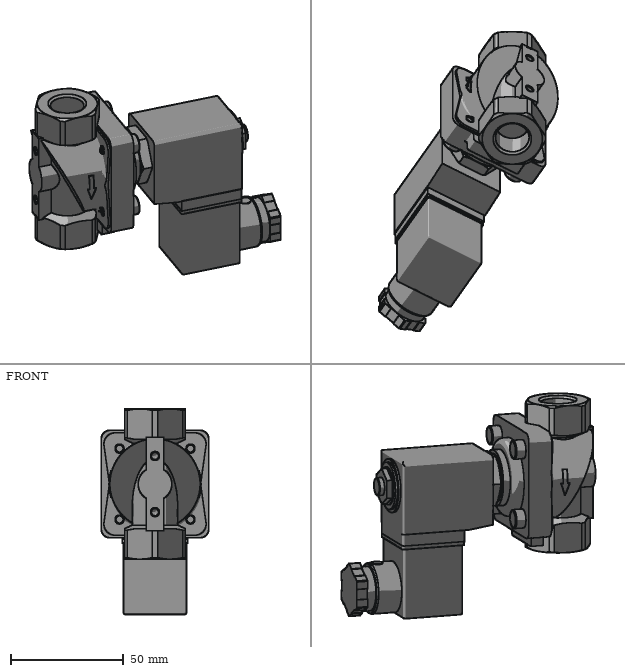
import cadquery as cq
import math


port_end = 33.5
port_flats = 27.0
port_corner_radius = 14.95
port_face_radius = 13.4
port_bore_diameter = 14.95
port_bore_depth = 12.0
port_bore_chamfer = 1.05
port_inner = 19.85
cone_rise = math.tan(math.radians(25))
pipe_diameter = 20.2
pipe_half_length = 19.0

chamber_radius = 20.1
chamber_fillet = 1.4
slant_high_y = -14.4
slant_low_y = 5.1
slant_reach = 20.1

pad_face_y = -15.25
web_width = 8.0
web_height = 41.6
web_root_y = -5.0
boss_diameter = 15.0
mount_spacing = 25.0
mount_diameter = 3.24
mount_mouth_diameter = 4.0
mount_depth = 6.0
drill_tip_angle = 118.0

flange_size = 48.0
flange_corner = 4.0
flange_front_y = 11.4
flange_back_y = 22.1
plate_front_y = 10.4
plate_half_width = 23.5
plate_half_height = 22.8
plate_waist = 20.3
plate_corner = 5.0
screw_pitch = 31.6
screw_head_diameter = 8.5
screw_head_end_y = 26.9
screw_head_chamfer = 0.45
screw_hole_diameter = 3.24
screw_mouth_diameter = 4.0
screw_recess = 0.5
lug_front_y = 11.45
lug_back_y = 17.1
lug_half_width = 13.2
lug_bottom = -29.7
lug_round = 1.4

arrow_y = 3.57
arrow_shaft_width = 2.1
arrow_head_width = 4.1
arrow_tail_z = 6.0
arrow_neck_z = -0.2
arrow_tip_z = -5.9
arrow_height = 0.4

cover_radius = 17.5
cover_step_y = 24.5
collar_radius = 12.6
collar_end_y = 30.1
neck_radius = 11.0
neck_end_y = 31.0
coil_front_y = 35.8
tube_hex_flats = 22.5
tube_hex_chamfer_radius = 11.7
stem_diameter = 8.0
stem_end_y = 85.6
stem_chamfer = 0.3
washer_radii = (12.0, 10.6)
washer_thickness = 1.0
spacer_radius = 8.5
spacer_end_y = 80.75
nut_flats = 14.0
nut_end_y = 83.2

coil_back_y = 78.37
coil_width = 30.0
coil_top = 13.55
coil_bottom = -19.4
coil_nose_bottom = -17.9
coil_slope_start_y = 47.0
coil_round = 2.1
coil_back_round = 1.0
base_width = 29.2
base_front_y = 49.15
base_bottom = -24.6

gasket_bottom = -26.3
plug_bottom = -58.15
plug_width = 28.1
plug_front_y = 49.7
plug_back_y = 77.75
plug_round = 1.1
plug_bottom_round = 1.0
gland_radius = 11.5
gland_end_y = 89.4
gland_chamfer_length = 0.8
gland_chamfer_depth = 0.4
gland_neck_diameter = 20.0
knob_start_y = 93.5
knob_end_y = 98.55
knob_flats = 21.1
knob_corner_radius = 12.03
knob_groove_width = 4.74
knob_groove_depth = 0.4
gland_z = plug_bottom + knob_corner_radius
gland_pad_diameter = 5.5
gland_pad_y = 85.5


def box(x_span, y_span, z_span):
    """Box between the given limits on each axis."""
    size = [high - low for low, high in (x_span, y_span, z_span)]
    corner = (x_span[0], y_span[0], z_span[0])
    return cq.Workplane("XY", origin=corner).box(*size, centered=False)


def centred(width):
    return (-width / 2, width / 2)


def section_at(y, x=0, z=0):
    """Sketch plane across the Y axis; a negative extrusion grows toward +Y."""
    return cq.Workplane("XZ", origin=(x, y, z))


def rod(radius, y_start, y_end, x=0, z=0):
    """Round bar along Y."""
    return section_at(y_start, x, z).circle(radius).extrude(y_start - y_end)


def hexagon(plane, flats):
    """Hexagon of the given width across flats, with two corners on the local X axis."""
    return plane.polygon(6, flats / math.cos(math.pi / 6))


def turned_about_y(points, z=0):
    """Revolve a closed (radius, y) outline about a Y-parallel axis at height z."""
    outline = cq.Workplane("XY", origin=(0, 0, z)).polyline(points).close()
    return outline.revolve(360, (0, 0), (0, 1))


def make_port():
    """Upper port: blunted hexagon, chamfered at the face, coned toward the chamber."""
    face_drop = (port_corner_radius - port_face_radius) * cone_rise
    flat_radius = port_flats / 2
    pipe_radius = pipe_diameter / 2
    cone_start = port_inner - (flat_radius - pipe_radius) * cone_rise
    cone_end = port_inner + (port_corner_radius - flat_radius) * cone_rise
    turned = (
        cq.Workplane("XZ")
        .polyline([
            (0, cone_start),
            (pipe_radius, cone_start),
            (port_corner_radius, cone_end),
            (port_corner_radius, port_end - face_drop),
            (port_face_radius, port_end),
            (0, port_end),
        ])
        .close()
        .revolve(360, (0, 0), (0, 1))
    )
    bar = hexagon(cq.Workplane("XY"), port_flats).extrude(port_end)
    return turned.intersect(bar.rotate((0, 0, 0), (0, 0, 1), 30))


def make_port_bore():
    """Blind bore of the upper port with its mouth chamfer."""
    radius = port_bore_diameter / 2
    bore = cq.Workplane("XY", origin=(0, 0, port_end)).circle(radius).extrude(-port_bore_depth)
    mouth = cq.Solid.makeCone(
        radius, radius + port_bore_chamfer, port_bore_chamfer,
        pnt=cq.Vector(0, 0, port_end - port_bore_chamfer),
    )
    return bore.union(cq.Workplane(mouth))


def make_chamber():
    """Round chamber along Y, cut off at a slope, with the flow pipe showing below."""
    chamber = rod(chamber_radius, pad_face_y, flange_front_y)
    run = (slant_low_y - slant_high_y) / (2 * slant_reach)
    overshoot = 2 * slant_reach
    middle_y = (slant_high_y + slant_low_y) / 2
    cutter = (
        cq.Workplane("YZ", origin=(-chamber_radius - 1, 0, 0))
        .polyline([
            (middle_y - run * overshoot, overshoot),
            (middle_y + run * overshoot, -overshoot),
            (middle_y - overshoot, -overshoot),
            (middle_y - overshoot, overshoot),
        ])
        .close()
        .extrude(2 * chamber_radius + 2)
    )
    pipe = cq.Workplane("XY").circle(pipe_diameter / 2).extrude(pipe_half_length, both=True)
    return chamber.cut(cutter).union(pipe)


def make_arrow(side):
    """Raised flow arrow, pointing to -Z, on the side of the chamber given by the sign."""
    half_shaft = arrow_shaft_width / 2
    half_head = arrow_head_width / 2
    outline = (
        cq.Workplane("YZ")
        .polyline([
            (arrow_y - half_shaft, arrow_tail_z),
            (arrow_y + half_shaft, arrow_tail_z),
            (arrow_y + half_shaft, arrow_neck_z),
            (arrow_y + half_head, arrow_neck_z),
            (arrow_y, arrow_tip_z),
            (arrow_y - half_head, arrow_neck_z),
            (arrow_y - half_shaft, arrow_neck_z),
        ])
        .close()
        .extrude(side * flange_size / 2)
    )
    return outline.intersect(rod(chamber_radius + arrow_height, pad_face_y, flange_front_y))


def make_mounting_pad():
    """Web and round boss that carry the flat mounting face."""
    web = box(centred(web_width), (pad_face_y, web_root_y), centred(web_height))
    return web.union(rod(boss_diameter / 2, pad_face_y, web_root_y))


def make_mount_hole(z):
    """Blind mounting hole with a drill point and a countersunk mouth."""
    radius = mount_diameter / 2
    mouth = mount_mouth_diameter / 2
    tip = radius / math.tan(math.radians(drill_tip_angle / 2))
    bottom_y = pad_face_y + mount_depth
    return turned_about_y([
        (0, pad_face_y),
        (mouth, pad_face_y),
        (radius, pad_face_y + mouth - radius),
        (radius, bottom_y),
        (0, bottom_y + tip),
    ], z)


def make_flange():
    """Square flange, waisted front plate and the fillet joining it to the chamber."""
    flange = (
        box(centred(flange_size), (flange_front_y, flange_back_y), centred(flange_size))
        .edges("|Y").fillet(flange_corner)
    )
    plate = (
        section_at(plate_front_y)
        .polyline([
            (-plate_half_width, plate_half_height),
            (plate_half_width, plate_half_height),
            (plate_waist, 0),
            (plate_half_width, -plate_half_height),
            (-plate_half_width, -plate_half_height),
            (-plate_waist, 0),
        ])
        .close()
        .extrude(2 * chamber_fillet, both=True)
    )
    plate = plate.edges("|Y").edges(">Z or <Z").fillet(plate_corner)
    fillet_y = plate_front_y - chamber_fillet
    outer = chamber_radius + chamber_fillet
    diagonal = chamber_fillet * (1 - math.sqrt(0.5))
    fillet = (
        cq.Workplane("XY")
        .moveTo(0, fillet_y)
        .lineTo(chamber_radius, fillet_y)
        .threePointArc((chamber_radius + diagonal, plate_front_y - diagonal), (outer, plate_front_y))
        .lineTo(0, plate_front_y)
        .close()
        .revolve(360, (0, 0), (0, 1))
    )
    slab = box(centred(flange_size), (plate_front_y, flange_front_y), centred(flange_size))
    return flange.union(plate.intersect(slab)).union(plate.intersect(fillet))


def make_lug():
    """Lug under the flange: flared where it joins the flange, rounded at the lower edges."""
    root = -flange_size / 2
    flare = lug_half_width + lug_round
    lug = (
        section_at(lug_front_y)
        .moveTo(-flare, root)
        .radiusArc((-lug_half_width, root - lug_round), lug_round)
        .lineTo(-lug_half_width, lug_bottom)
        .lineTo(lug_half_width, lug_bottom)
        .lineTo(lug_half_width, root - lug_round)
        .radiusArc((flare, root), lug_round)
        .close()
        .extrude(lug_front_y - lug_back_y)
    )
    return lug.edges("|Y and <Z").fillet(lug_round)


def make_screw_head(x, z):
    head = rod(screw_head_diameter / 2, flange_back_y, screw_head_end_y, x, z)
    return head.faces(">Y").chamfer(screw_head_chamfer)


def make_screw_recess(x, z):
    """Shallow countersunk recess at the threaded end of a cover screw."""
    recess = cq.Solid.makeCone(
        screw_mouth_diameter / 2, screw_hole_diameter / 2, screw_recess,
        pnt=cq.Vector(x, plate_front_y, z), dir=cq.Vector(0, 1, 0),
    )
    clearance = rod(screw_mouth_diameter / 2, plate_front_y - chamber_fillet, plate_front_y, x, z)
    return clearance.union(cq.Workplane(recess))


def make_armature():
    """Cover, collar, hexagon, stem through the coil, washers and end nut."""
    dome_height = screw_head_end_y - cover_step_y
    dome_inset = dome_height * (1 - math.sqrt(0.5))
    cover = (
        cq.Workplane("XY")
        .moveTo(0, flange_back_y)
        .lineTo(cover_radius, flange_back_y)
        .lineTo(cover_radius, cover_step_y)
        .threePointArc(
            (cover_radius - dome_inset, screw_head_end_y - dome_inset),
            (cover_radius - dome_height, screw_head_end_y),
        )
        .lineTo(collar_radius, screw_head_end_y)
        .lineTo(collar_radius, collar_end_y)
        .lineTo(neck_radius, collar_end_y)
        .lineTo(neck_radius, neck_end_y)
        .lineTo(0, neck_end_y)
        .close()
        .revolve(360, (0, 0), (0, 1))
    )
    hexagon_bar = hexagon(section_at(neck_end_y), tube_hex_flats).extrude(neck_end_y - coil_front_y)
    corner = tube_hex_flats / 2 / math.cos(math.pi / 6)
    inset = corner - tube_hex_chamfer_radius
    bevel = inset * cone_rise
    hexagon_bar = hexagon_bar.intersect(turned_about_y([
        (0, neck_end_y),
        (tube_hex_chamfer_radius, neck_end_y),
        (corner, neck_end_y + bevel),
        (corner, coil_front_y - bevel / 2),
        (corner - inset / 2, coil_front_y),
        (0, coil_front_y),
    ]))
    stem = rod(stem_diameter / 2, neck_end_y, stem_end_y).faces(">Y").chamfer(stem_chamfer)
    armature = cover.union(hexagon_bar).union(stem)

    start_y = coil_back_y
    for radius in washer_radii:
        armature = armature.union(rod(radius, start_y, start_y + washer_thickness))
        start_y += washer_thickness
    armature = armature.union(rod(spacer_radius, start_y, spacer_end_y))
    nut = hexagon(section_at(spacer_end_y), nut_flats).extrude(spacer_end_y - nut_end_y)
    return armature.union(nut.rotate((0, 0, 0), (0, 1, 0), 90))


def make_valve():
    valve = make_chamber().union(make_flange()).union(make_mounting_pad()).union(make_lug())
    port = make_port()
    bore = make_port_bore()
    valve = valve.union(port).union(port.mirror("XY")).union(make_armature())
    for side in (-1, 1):
        valve = valve.union(make_arrow(side))
    valve = valve.cut(bore).cut(bore.mirror("XY"))
    for z in centred(mount_spacing):
        valve = valve.cut(make_mount_hole(z))
    for x in centred(screw_pitch):
        for z in centred(screw_pitch):
            valve = valve.union(make_screw_head(x, z)).cut(make_screw_recess(x, z))
    return valve


def make_coil():
    """Coil housing with a sloping underside and the plug socket block below its back."""
    housing = (
        cq.Workplane("YZ", origin=(-coil_width / 2, 0, 0))
        .polyline([
            (coil_front_y, coil_top),
            (coil_back_y, coil_top),
            (coil_back_y, coil_bottom),
            (coil_slope_start_y, coil_bottom),
            (coil_front_y, coil_nose_bottom),
        ])
        .close()
        .extrude(coil_width)
    )
    rounded_back = housing.faces(">Y").edges("not <Z").fillet(coil_back_round)
    housing = housing.edges("|Y and >Z").fillet(coil_round).intersect(rounded_back)
    base = box(centred(base_width), (base_front_y, coil_back_y), (base_bottom, coil_bottom))
    base = base.edges("|Z and >Y").fillet(coil_back_round)
    stem_hole = rod(stem_diameter / 2, coil_front_y, coil_back_y)
    return housing.union(base).cut(stem_hole)


def make_knob():
    """Hexagonal gland nut with blunted corners and a shallow groove along each flat."""
    length = knob_end_y - knob_start_y
    knob = hexagon(section_at(knob_start_y), knob_flats).extrude(-length)
    groove = box(
        centred(knob_groove_width),
        (knob_start_y, knob_end_y),
        (knob_flats / 2 - knob_groove_depth, knob_flats / 2),
    )
    for step in range(6):
        knob = knob.cut(groove.rotate((0, 0, 0), (0, 1, 0), 60 * step))
    knob = knob.rotate((0, 0, 0), (0, 1, 0), 90)
    knob = knob.intersect(rod(knob_corner_radius, knob_start_y, knob_end_y))
    return knob.translate((0, 0, gland_z))


def make_plug():
    """Plug housing under its gasket, with the cable gland toward +Y."""
    gasket = box(centred(base_width), (base_front_y, coil_back_y), (gasket_bottom, base_bottom))
    gasket = gasket.edges("|Z").fillet(coil_back_round)
    housing = box(centred(plug_width), (plug_front_y, plug_back_y), (plug_bottom, gasket_bottom))
    housing = housing.edges("|Z").fillet(plug_round).faces("<Z").edges().fillet(plug_bottom_round)
    gland = turned_about_y([
        (0, plug_back_y - plug_round),
        (gland_radius, plug_back_y - plug_round),
        (gland_radius, gland_end_y - gland_chamfer_length),
        (gland_radius - gland_chamfer_depth, gland_end_y),
        (gland_neck_diameter / 2, gland_end_y),
        (gland_neck_diameter / 2, knob_start_y),
        (0, knob_start_y),
    ], gland_z)
    pad = cq.Workplane("XY", origin=(0, gland_pad_y, gland_z)).circle(gland_pad_diameter / 2)
    pad = pad.extrude(gland_radius)
    return gasket.union(housing).union(gland).union(pad).union(make_knob())


valve = make_valve()
coil = make_coil()
plug = make_plug()

result = cq.Compound.makeCompound([body.solids().val() for body in (valve, coil, plug)])